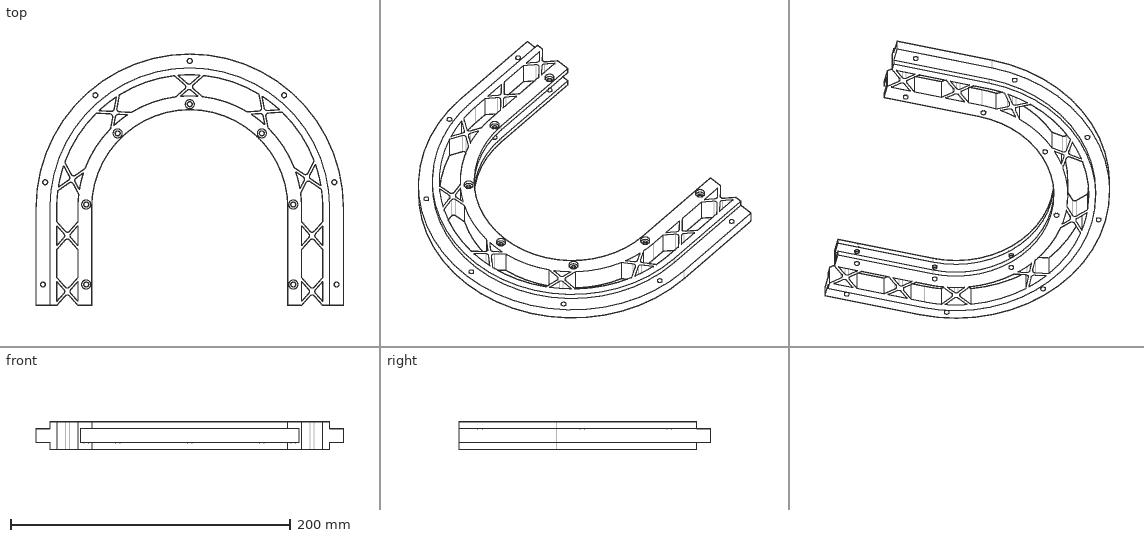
import cadquery as cq
import math

LEG_LENGTH = 70.0
HEIGHT = 20.0
INNER_RADIUS = 70.2
INNER_RAIL_WIDTH = 10.0
TRUSS_GAP = 15.0
OUTER_RAIL_WIDTH = 5.0

TONGUE_WIDTH = 10.0
TONGUE_THICKNESS = 10.0
GROOVE_DEPTH = 8.0

GAP_INNER_RADIUS = INNER_RADIUS + INNER_RAIL_WIDTH
GAP_OUTER_RADIUS = GAP_INNER_RADIUS + TRUSS_GAP
RAIL_OUTER_RADIUS = GAP_OUTER_RADIUS + OUTER_RAIL_WIDTH
TONGUE_RADIUS = RAIL_OUTER_RADIUS + TONGUE_WIDTH
GAP_MIDDLE_RADIUS = (GAP_INNER_RADIUS + GAP_OUTER_RADIUS) / 2
GROOVE_RADIUS = INNER_RADIUS + GROOVE_DEPTH

BRACE_THICKNESS = 2.0
BRACE_FILLET = 2.0
BRACE_HALF_SPAN = 8.5
BRACE_HALF_ANGLE = BRACE_HALF_SPAN / GAP_MIDDLE_RADIUS
BAR_OVERRUN = 3.0
ARC_BRACE_STEP = 38.0
ARC_BRACE_SHIFT = 0.3
ARC_BRACE_TURNS = [step * ARC_BRACE_STEP + ARC_BRACE_SHIFT for step in (-2, -1, 0, 1, 2)]
LEG_BRACE_DISTANCES = (20.0, 60.0)

HOLE_DIAMETER = 3.4
COUNTERBORE_DIAMETER = 6.5
COUNTERBORE_DEPTH = 3.0
TONGUE_HOLE_RADIUS = RAIL_OUTER_RADIUS + TONGUE_WIDTH / 2
TONGUE_HOLE_STEP = 40.0
FLANGE_HOLE_RADIUS = INNER_RADIUS + GROOVE_DEPTH / 2
FLANGE_HOLE_STEP = 44.1
ARC_HOLE_STEPS = (-2, -1, 0, 1, 2)
LEG_HOLE_DISTANCE = 55.0


def filled_arch(radius, thickness):
    """Solid arch-shaped plate: a half disc on top of the leg rectangle."""
    return (
        cq.Workplane("XY")
        .workplane(offset=-thickness / 2)
        .moveTo(-radius, -LEG_LENGTH)
        .lineTo(radius, -LEG_LENGTH)
        .lineTo(radius, 0)
        .threePointArc((0, radius), (-radius, 0))
        .close()
        .extrude(thickness)
    )


def arch_band(inner_radius, outer_radius, thickness):
    """Arch-shaped band between two radii."""
    return filled_arch(outer_radius, thickness).cut(filled_arch(inner_radius, thickness))


def on_arc(body, turn):
    """Turn a body about the arc centre, in degrees from +Y."""
    return body.rotate((0, 0, 0), (0, 0, 1), turn)


def brace_bar(inner_end, outer_end):
    """Straight bar through two points, slightly longer than their distance."""
    run = outer_end[0] - inner_end[0]
    rise = outer_end[1] - inner_end[1]
    middle = ((inner_end[0] + outer_end[0]) / 2, (inner_end[1] + outer_end[1]) / 2, 0)
    length = math.hypot(run, rise) + 2 * BAR_OVERRUN
    bar = cq.Workplane("XY").box(length, BRACE_THICKNESS, HEIGHT)
    return bar.rotate((0, 0, 0), (0, 0, 1), math.degrees(math.atan2(rise, run))).translate(middle)


def brace(inner_end, outer_end):
    """Bar and its mirror image crossing on the +Y axis, with rounded inner corners."""
    bar = brace_bar(inner_end, outer_end)
    cross = bar.union(bar.mirror("YZ"))
    span = outer_end[0] - inner_end[0]
    crossing = inner_end[1] - inner_end[0] / span * (outer_end[1] - inner_end[1])
    core = cq.selectors.BoxSelector(
        (-BRACE_THICKNESS, crossing - BRACE_THICKNESS, -HEIGHT),
        (BRACE_THICKNESS, crossing + BRACE_THICKNESS, HEIGHT),
    )
    return cross.edges("|Z").edges(core).fillet(BRACE_FILLET)


def arc_brace():
    """Brace whose bars end on two radial lines, so it widens outwards."""
    angle = BRACE_HALF_ANGLE
    inner_end = (-GAP_INNER_RADIUS * math.sin(angle), GAP_INNER_RADIUS * math.cos(angle))
    outer_end = (GAP_OUTER_RADIUS * math.sin(angle), GAP_OUTER_RADIUS * math.cos(angle))
    return brace(inner_end, outer_end)


def leg_brace():
    """Brace between the parallel walls of a leg."""
    return brace((-BRACE_HALF_SPAN, GAP_INNER_RADIUS), (BRACE_HALF_SPAN, GAP_OUTER_RADIUS))


def add_braces(body):
    """Place the braces, trimmed to the gap between the rails."""
    gap = arch_band(GAP_INNER_RADIUS, GAP_OUTER_RADIUS, HEIGHT)
    braces = [on_arc(arc_brace(), turn) for turn in ARC_BRACE_TURNS]
    for distance in LEG_BRACE_DISTANCES:
        for turn in (-90, 90):
            braces.append(on_arc(leg_brace(), turn).translate((0, -distance, 0)))
    for placed in braces:
        body = body.union(placed.intersect(gap))
    return body


def hole_points(radius, arc_step):
    """Hole places: evenly stepped around the arc, plus one on each leg."""
    points = [(-radius, -LEG_HOLE_DISTANCE), (radius, -LEG_HOLE_DISTANCE)]
    for step in ARC_HOLE_STEPS:
        angle = math.radians(step * arc_step)
        points.append((radius * math.sin(angle), radius * math.cos(angle)))
    return points


def vertical_holes(radius, arc_step, diameter, bottom, top):
    """Round cutters at every hole place along the arch."""
    return (
        cq.Workplane("XY")
        .workplane(offset=bottom)
        .pushPoints(hole_points(radius, arc_step))
        .circle(diameter / 2)
        .extrude(top - bottom)
    )


def rails():
    """Inner rail with its groove, and outer rail with its tongue."""
    inner_rail = arch_band(INNER_RADIUS, GAP_INNER_RADIUS, HEIGHT)
    groove = filled_arch(GROOVE_RADIUS, TONGUE_THICKNESS)
    outer_rail = arch_band(GAP_OUTER_RADIUS, RAIL_OUTER_RADIUS, HEIGHT)
    tongue = arch_band(GAP_OUTER_RADIUS, TONGUE_RADIUS, TONGUE_THICKNESS)
    return inner_rail.cut(groove).union(outer_rail.union(tongue))


def cut_holes(body):
    """Plain holes in the tongue, counterbored holes in the flanges of the inner rail."""
    top = HEIGHT / 2
    body = body.cut(vertical_holes(TONGUE_HOLE_RADIUS, TONGUE_HOLE_STEP, HOLE_DIAMETER, -top, top))
    body = body.cut(vertical_holes(FLANGE_HOLE_RADIUS, FLANGE_HOLE_STEP, HOLE_DIAMETER, -top, top))
    seat = top - COUNTERBORE_DEPTH
    return body.cut(
        vertical_holes(FLANGE_HOLE_RADIUS, FLANGE_HOLE_STEP, COUNTERBORE_DIAMETER, seat, top)
    )


result = cut_holes(add_braces(rails()))